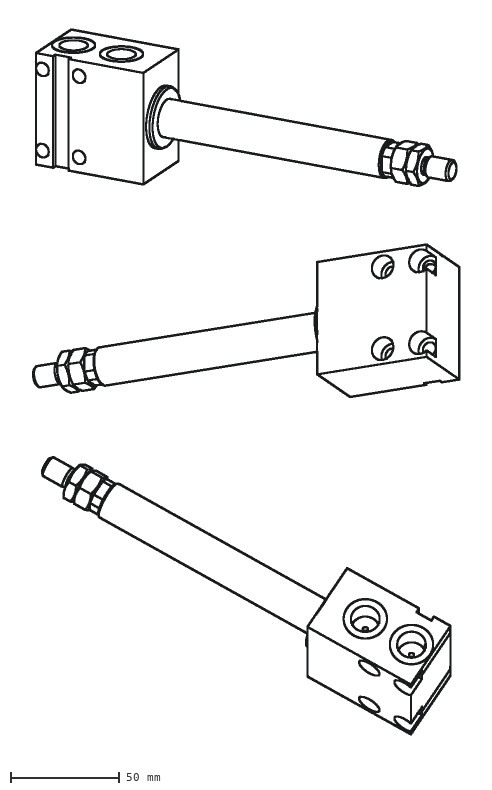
import cadquery as cq
import math

overall_length = 208.0

housing_length = 56.0
housing_depth = 35.0
housing_height = 55.0
boss_diameter = 29.5
boss_length = 3.0
boss_chamfer_length = 1.3
boss_chamfer_height = 0.7

groove_start = 9.0
groove_width = 8.0
groove_depth = 2.3

mount_hole_diameter = 6.6
mount_hole_xs = (3.4, 22.5)
mount_hole_z = 20.0
counterbore_diameter = 11.0
counterbore_depth = 10.0

port_xs = (10.4, 35.4)
port_diameter = 13.2
port_depth = 12.0
spotface_diameter = 20.0
spotface_depth = 0.2
pilot_diameter = 2.5
pilot_depth = 16.0

rod_diameter = 18.0
rod_start = 46.0
rod_shoulder = 175.0
rod_chamfer = 0.75
neck_diameter = rod_diameter - 2 * rod_chamfer
neck_flats = 14.5

thread_diameter = 10.0
thread_chamfer = 1.0
thread_engagement = 12.0
hex_across_flats = 17.0
hex_chamfer_angle = 30.0
hex_face_diameter = 0.95 * hex_across_flats
nut_start = 180.0
nut_thickness = 8.0
nut_end = nut_start + nut_thickness
end_hex_thickness = 5.8
end_hex_end = nut_end + end_hex_thickness
undercut_diameter = 8.4
undercut_length = 1.3
undercut_taper = 1.4


def x_cylinder(diameter, start, end):
    """Cylinder on the X axis between two X positions."""
    return cq.Workplane("YZ", origin=(start, 0, 0)).circle(diameter / 2).extrude(end - start)


def drill(plane, origin, diameter, depth):
    """Cutter for a round hole going against the plane's normal."""
    return cq.Workplane(plane, origin=origin).circle(diameter / 2).extrude(-depth)


def make_boss():
    """Round boss that guides the rod, with a tapered outer rim."""
    radius = boss_diameter / 2
    end = housing_length + boss_length
    return (
        cq.Workplane("XY")
        .moveTo(housing_length, 0)
        .lineTo(housing_length, radius)
        .lineTo(end - boss_chamfer_length, radius)
        .lineTo(end, radius - boss_chamfer_height)
        .lineTo(end, 0)
        .close()
        .revolve(360, (0, 0, 0), (1, 0, 0))
    )


def make_housing():
    body = cq.Workplane("XY").box(housing_length, housing_depth, housing_height)
    body = body.translate((housing_length / 2, 0, 0))
    body = body.union(make_boss())
    front_y = -housing_depth / 2
    rear_y = housing_depth / 2
    top_z = housing_height / 2

    groove = cq.Workplane("XY").box(groove_width, 2 * groove_depth, housing_height)
    body = body.cut(groove.translate((groove_start + groove_width / 2, front_y, 0)))

    for x in mount_hole_xs:
        for z in (-mount_hole_z, mount_hole_z):
            body = body.cut(drill("XZ", (x, front_y, z), mount_hole_diameter, housing_depth))
            counterbore_floor = (x, rear_y - counterbore_depth, z)
            body = body.cut(drill("XZ", counterbore_floor, counterbore_diameter, counterbore_depth))

    for x in port_xs:
        for diameter, depth in (
            (spotface_diameter, spotface_depth),
            (port_diameter, port_depth),
            (pilot_diameter, pilot_depth),
        ):
            body = body.cut(drill("XY", (x, 0, top_z), diameter, depth))

    return body.cut(x_cylinder(rod_diameter, rod_start, housing_length + boss_length))


def make_rod():
    """Plain rod with a neck squared by four wrench flats and a threaded socket."""
    shaft = x_cylinder(rod_diameter, rod_start, rod_shoulder).faces(">X").chamfer(rod_chamfer)
    neck = x_cylinder(neck_diameter, rod_shoulder, nut_start)
    neck_length = nut_start - rod_shoulder
    square = cq.Workplane("XY").box(neck_length, neck_flats, neck_flats)
    neck = neck.intersect(square.translate((rod_shoulder + neck_length / 2, 0, 0)))
    socket = x_cylinder(thread_diameter, nut_start - thread_engagement, nut_start)
    return shaft.union(neck).cut(socket)


def make_hexagon(start, thickness):
    """Hexagon along X with flats facing up and down and corners chamfered at both ends."""
    corner_radius = hex_across_flats / math.sqrt(3)
    face_radius = hex_face_diameter / 2
    chamfer_length = (corner_radius - face_radius) * math.tan(math.radians(hex_chamfer_angle))
    end = start + thickness
    prism = (
        cq.Workplane("YZ", origin=(start, 0, 0))
        .polygon(6, 2 * corner_radius)
        .extrude(thickness)
    )
    envelope = (
        cq.Workplane("XY")
        .moveTo(start, 0)
        .lineTo(start, face_radius)
        .lineTo(start + chamfer_length, corner_radius)
        .lineTo(end - chamfer_length, corner_radius)
        .lineTo(end, face_radius)
        .lineTo(end, 0)
        .close()
        .revolve(360, (0, 0, 0), (1, 0, 0))
    )
    return prism.intersect(envelope)


def make_nut():
    return make_hexagon(nut_start, nut_thickness).cut(x_cylinder(thread_diameter, nut_start, nut_end))


def make_threaded_end():
    """Stud with a hexagon collar and a tapered undercut beside it."""
    shank = x_cylinder(thread_diameter, nut_start - thread_engagement, nut_end)
    collar = make_hexagon(nut_end, end_hex_thickness)
    thread_radius = thread_diameter / 2
    undercut_radius = undercut_diameter / 2
    undercut_end = end_hex_end + undercut_length
    tip = (
        cq.Workplane("XY")
        .moveTo(end_hex_end, 0)
        .lineTo(end_hex_end, undercut_radius)
        .lineTo(undercut_end, undercut_radius)
        .lineTo(undercut_end + undercut_taper, thread_radius)
        .lineTo(overall_length - thread_chamfer, thread_radius)
        .lineTo(overall_length, thread_radius - thread_chamfer)
        .lineTo(overall_length, 0)
        .close()
        .revolve(360, (0, 0, 0), (1, 0, 0))
    )
    return shank.union(collar).union(tip)


housing = make_housing()
rod = make_rod()
lock_nut = make_nut()
threaded_end = make_threaded_end()

result = cq.Compound.makeCompound(
    [housing.val(), rod.val(), lock_nut.val(), threaded_end.val()]
)